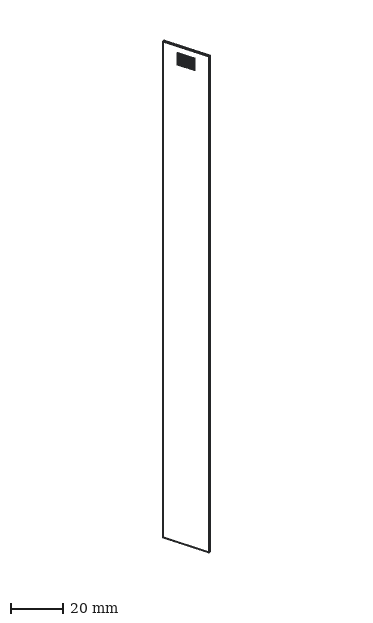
import cadquery as cq

strip_width = 20.0
strip_thickness = 0.8
strip_length = 236.0

opening_width = 0.7
opening_height = 0.8
column_pitch = 0.97
row_pitch = 1.53
column_count = 8
row_count = 4
grid_centre_below_top = 6.0
grid_centre_z = strip_length / 2 - grid_centre_below_top


def make_strip():
    """Flat rectangular strip centred on the origin."""
    return cq.Workplane("XY").box(strip_width, strip_thickness, strip_length)


def make_opening_cutters():
    """Rectangular cutters on a regular grid, each reaching past both faces of the strip."""
    return (
        cq.Workplane("XZ", origin=(0, 0, grid_centre_z))
        .rarray(column_pitch, row_pitch, column_count, row_count)
        .rect(opening_width, opening_height)
        .extrude(strip_thickness, both=True)
    )


result = make_strip().cut(make_opening_cutters())